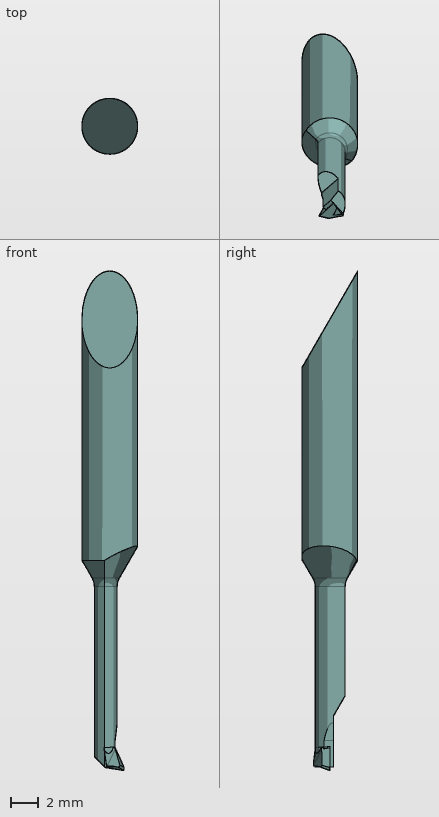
import cadquery as cq
import math

TOTAL_LENGTH = 35.7
SHANK_DIAMETER = 4.0
SHANK_RADIUS = SHANK_DIAMETER / 2
BEVEL_ANGLE = 60
SHOULDER_Z = 15.05

NECK_RADIUS = 1.1
CLEARANCE_RADIUS = 1.3
CLEARANCE_X = -0.75
CLEARANCE_Y = 0.18
TAPER_ANGLE = 30
BLEND_RADIUS = 1.25

NECK_BOTTOM_Z = 0.25
FLAT_Y = 0.3
FLAT_Z = 3.93
FLAT_RAMP_ANGLE = 60
CORNER_CHAMFER = 0.75
SIDE_RELIEF_X = 0.4
SIDE_RELIEF_DEPTH = 0.15
SIDE_RELIEF_BOTTOM_Z = 2.15
SIDE_RELIEF_TOP_Z = 3.4

RAKE_Y = 0
FRONT_Y = -1.18
RAKE_CORNERS = [(-0.43, 1.7), (0.35, 1.7), (1.05, 0.2), (1.0, 0), (-0.35, 0.2)]
FRONT_CORNERS = [(-0.43, 1.65), (0.32, 1.65), (0.4, 0.57), (0.35, 0.43), (-0.2, 0.32)]
CREASE_TOP = cq.Vector(0.32, -0.65, 1.4)
CREASE_BOTTOM = cq.Vector(-0.18, FRONT_Y, 0.32)
FACET_CORNERS = [cq.Vector(-0.43, -1.05, 1.65), cq.Vector(0.75, -0.55, 0.43)]

OVERSIZE = 2 * SHANK_DIAMETER


def flared_bar(radius, center_x, center_y):
    """Round bar that blends into a cone wider than the shank, then runs straight up."""
    taper = math.radians(TAPER_ANGLE)
    corner_z = SHOULDER_Z - (SHANK_RADIUS - NECK_RADIUS) / math.tan(taper)
    tangent = BLEND_RADIUS * math.tan(taper / 2)
    half = taper / 2
    wide_radius = OVERSIZE
    wide_z = corner_z + (wide_radius - radius) / math.tan(taper)
    blend_bottom_z = corner_z - tangent
    blend_middle = (
        radius + BLEND_RADIUS * (1 - math.cos(half)),
        blend_bottom_z + BLEND_RADIUS * math.sin(half),
    )
    blend_end = (radius + tangent * math.sin(taper), corner_z + tangent * math.cos(taper))
    return (
        cq.Workplane("XZ")
        .moveTo(0, NECK_BOTTOM_Z)
        .lineTo(radius, NECK_BOTTOM_Z)
        .lineTo(radius, blend_bottom_z)
        .threePointArc(blend_middle, blend_end)
        .lineTo(wide_radius, wide_z)
        .lineTo(wide_radius, TOTAL_LENGTH)
        .lineTo(0, TOTAL_LENGTH)
        .close()
        .revolve(360, (0, 0, 0), (0, 1, 0))
        .translate((center_x, center_y, 0))
    )


def bevelled_cylinder():
    """Shank envelope, with its top sloping down toward -Y."""
    bevel_height = SHANK_DIAMETER * math.tan(math.radians(BEVEL_ANGLE))
    side = (
        cq.Workplane("YZ")
        .polyline([
            (-SHANK_RADIUS, 0),
            (SHANK_RADIUS, 0),
            (SHANK_RADIUS, TOTAL_LENGTH),
            (-SHANK_RADIUS, TOTAL_LENGTH - bevel_height),
        ])
        .close()
        .extrude(SHANK_RADIUS, both=True)
    )
    return cq.Workplane("XY").circle(SHANK_RADIUS).extrude(TOTAL_LENGTH).intersect(side)


def flat_cut():
    """Removes the +Y side of the neck near the tip, up to a ramp."""
    ramp_run = SHANK_RADIUS - FLAT_Y
    ramp_top_z = FLAT_Z + ramp_run * math.tan(math.radians(FLAT_RAMP_ANGLE))
    return (
        cq.Workplane("YZ")
        .polyline([(FLAT_Y, 0), (SHANK_RADIUS, 0), (SHANK_RADIUS, ramp_top_z), (FLAT_Y, FLAT_Z)])
        .close()
        .extrude(SHANK_RADIUS, both=True)
    )


def corner_cut():
    """45 degree chamfer on the lower -X corner of the neck."""
    top_z = NECK_BOTTOM_Z + CORNER_CHAMFER
    return (
        cq.Workplane("XZ")
        .polyline([
            (-NECK_RADIUS, NECK_BOTTOM_Z),
            (-NECK_RADIUS + CORNER_CHAMFER, NECK_BOTTOM_Z),
            (-NECK_RADIUS, top_z),
        ])
        .close()
        .extrude(SHANK_RADIUS, both=True)
    )


def side_relief_cut():
    """Narrows the +X side of the neck above the tip."""
    return (
        cq.Workplane("XZ")
        .polyline([
            (SIDE_RELIEF_X, 0),
            (SHANK_RADIUS, 0),
            (SHANK_RADIUS, SIDE_RELIEF_TOP_Z),
            (SIDE_RELIEF_X + SIDE_RELIEF_DEPTH, SIDE_RELIEF_TOP_Z),
            (SIDE_RELIEF_X, SIDE_RELIEF_BOTTOM_Z),
        ])
        .close()
        .extrude(SHANK_RADIUS, both=True)
    )


def face_wire(corners, y):
    return cq.Wire.makePolygon([cq.Vector(x, y, z) for x, z in corners], close=True)


def facet_cut(corner):
    """Block in front of the plane through the crease and one facet corner."""
    along_crease = CREASE_TOP - CREASE_BOTTOM
    outward = along_crease.cross(corner - CREASE_BOTTOM)
    if outward.y > 0:
        outward = -outward
    facet_plane = cq.Plane(origin=CREASE_BOTTOM, xDir=along_crease, normal=outward)
    return cq.Workplane(facet_plane).rect(OVERSIZE, OVERSIZE).extrude(OVERSIZE)


def make_cutting_tip():
    """Wedge that narrows from the rake face to the front, with two slanted front facets."""
    rake_wire = face_wire(RAKE_CORNERS, RAKE_Y)
    front_wire = face_wire(FRONT_CORNERS, FRONT_Y)
    tip = cq.Workplane(cq.Solid.makeLoft([rake_wire, front_wire], True))
    for corner in FACET_CORNERS:
        tip = tip.cut(facet_cut(corner))
    return tip


def make_shank(tip):
    """Shank and neck, with a recess that fits the cutting tip."""
    bar = bevelled_cylinder().intersect(flared_bar(NECK_RADIUS, 0, 0))
    bar = bar.intersect(flared_bar(CLEARANCE_RADIUS, CLEARANCE_X, CLEARANCE_Y))
    bar = bar.cut(flat_cut()).cut(corner_cut()).cut(side_relief_cut())
    return bar.cut(tip)


cutting_tip = make_cutting_tip()
shank = make_shank(cutting_tip)

result = cq.Compound.makeCompound([shank.val(), cutting_tip.val()])